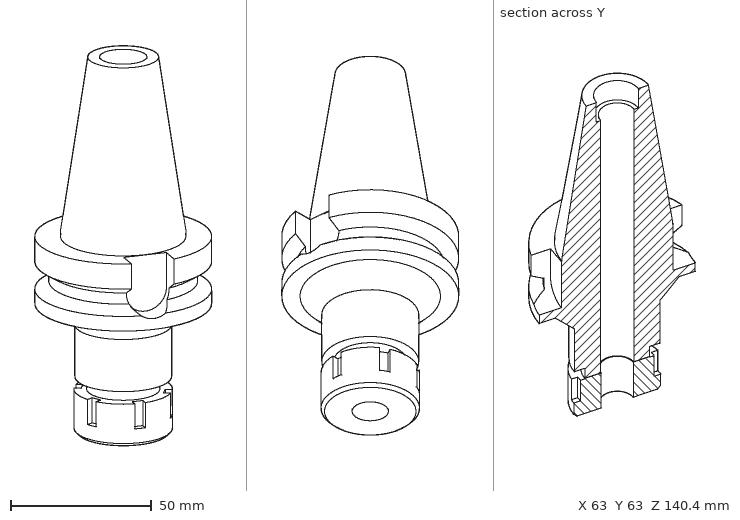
import cadquery as cq

TOTAL_HEIGHT = 140.4
TAPER_BOTTOM_Z = 75.1
FLANGE_TOP_Z = 73.1
GROOVE_TOP_Z = 63.7
GROOVE_WALL_TOP_Z = 60.7
GROOVE_WALL_BOTTOM_Z = 56.5
GROOVE_BOTTOM_Z = 53.5
FLANGE_BOTTOM_Z = 48.0
CONE_BOTTOM_Z = 40.2
BODY_BOTTOM_Z = 20.6
NUT_HEIGHT = 16.0

TAPER_TOP_RADIUS = 12.6
TAPER_BOTTOM_RADIUS = 22.3
FLANGE_RADIUS = 31.52
GROOVE_RADIUS = 26.5
CONE_TOP_RADIUS = 25.0
BODY_RADIUS = 17.3
NECK_RADIUS = 13.0

BORE_RADIUS = 6.7
COUNTERBORE_RADIUS = 8.4
COUNTERBORE_DEPTH = 8.8

KEYWAY_WIDTH = 16.1
KEYWAY_FLOOR_X = 22.6
KEYWAY_BOTTOM_Z = 52.1

NUT_RADIUS = 17.5
NUT_BORE_RADIUS = 6.5
NUT_CHAMFER = 1.3
SPANNER_SLOT_COUNT = 6
SPANNER_SLOT_WIDTH = 4.0
SPANNER_SLOT_FLOOR_RADIUS = 14.9
SPANNER_SLOT_BOTTOM_Z = 6.6


def make_keyway_cutter():
    """Cutter for the +X keyway: open at the flange top, round at the bottom."""
    half_width = KEYWAY_WIDTH / 2
    arc_center_z = KEYWAY_BOTTOM_Z + half_width
    return (
        cq.Workplane("YZ", origin=(KEYWAY_FLOOR_X, 0, 0))
        .moveTo(-half_width, FLANGE_TOP_Z)
        .lineTo(-half_width, arc_center_z)
        .threePointArc((0, KEYWAY_BOTTOM_Z), (half_width, arc_center_z))
        .lineTo(half_width, FLANGE_TOP_Z)
        .close()
        .extrude(FLANGE_RADIUS)
    )


def make_holder():
    """Tapered tool holder, turned about Z, with a grooved and keyed flange."""
    counterbore_floor_z = TOTAL_HEIGHT - COUNTERBORE_DEPTH
    profile = [
        (BORE_RADIUS, NUT_HEIGHT),
        (NECK_RADIUS, NUT_HEIGHT),
        (NECK_RADIUS, BODY_BOTTOM_Z),
        (BODY_RADIUS, BODY_BOTTOM_Z),
        (BODY_RADIUS, CONE_BOTTOM_Z),
        (CONE_TOP_RADIUS, FLANGE_BOTTOM_Z),
        (FLANGE_RADIUS, FLANGE_BOTTOM_Z),
        (FLANGE_RADIUS, GROOVE_BOTTOM_Z),
        (GROOVE_RADIUS, GROOVE_WALL_BOTTOM_Z),
        (GROOVE_RADIUS, GROOVE_WALL_TOP_Z),
        (FLANGE_RADIUS, GROOVE_TOP_Z),
        (FLANGE_RADIUS, FLANGE_TOP_Z),
        (TAPER_BOTTOM_RADIUS, FLANGE_TOP_Z),
        (TAPER_BOTTOM_RADIUS, TAPER_BOTTOM_Z),
        (TAPER_TOP_RADIUS, TOTAL_HEIGHT),
        (COUNTERBORE_RADIUS, TOTAL_HEIGHT),
        (COUNTERBORE_RADIUS, counterbore_floor_z),
        (BORE_RADIUS, counterbore_floor_z),
    ]
    holder = cq.Workplane("XZ").polyline(profile).close().revolve(360, (0, 0, 0), (0, 1, 0))
    keyway_cutter = make_keyway_cutter()
    for angle in (0, 180):
        holder = holder.cut(keyway_cutter.rotate((0, 0, 0), (0, 0, 1), angle))
    return holder


def make_nut():
    """Clamping nut seated against the holder neck, with spanner slots open at its top."""
    nut = (
        cq.Workplane("XY")
        .circle(NUT_RADIUS)
        .extrude(NUT_HEIGHT)
        .faces("<Z")
        .edges()
        .chamfer(NUT_CHAMFER)
    )
    nut = nut.cut(cq.Workplane("XY").circle(NUT_BORE_RADIUS).extrude(NUT_HEIGHT))
    slot_cutter = cq.Workplane("XY").box(
        NUT_RADIUS, SPANNER_SLOT_WIDTH, NUT_HEIGHT, centered=(False, True, False)
    ).translate((SPANNER_SLOT_FLOOR_RADIUS, 0, SPANNER_SLOT_BOTTOM_Z))
    for index in range(SPANNER_SLOT_COUNT):
        angle = index * 360 / SPANNER_SLOT_COUNT
        nut = nut.cut(slot_cutter.rotate((0, 0, 0), (0, 0, 1), angle))
    return nut


holder = make_holder()
nut = make_nut()
result = cq.Compound.makeCompound([holder.val(), nut.val()])